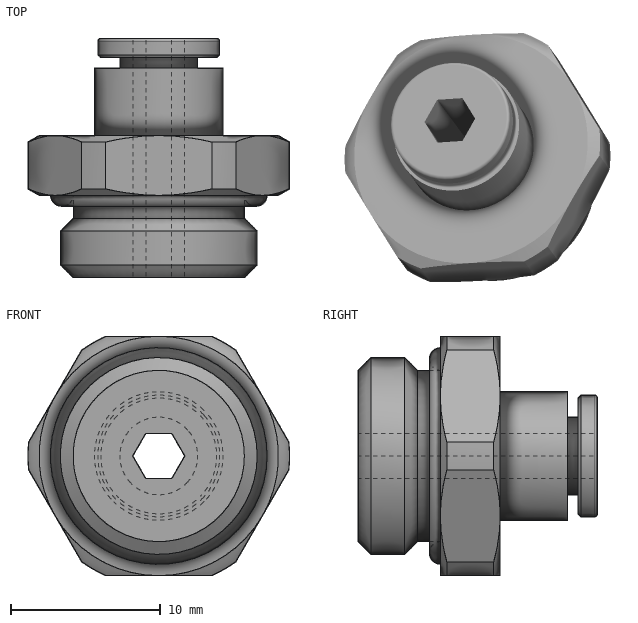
import cadquery as cq
import math

total_length = 16.0

thread_radius = 13.157 / 2
undercut_radius = 11.445 / 2
thread_chamfer = thread_radius - undercut_radius
thread_length = 3.97
undercut_length = 1.53

hex_across_flats = 16.0
hex_corner_diameter = 17.5
hex_length = 4.0
hex_chamfer_angle = 30.0

ring_section_radius = 0.76
ring_sink = 0.03
ring_centre_radius = undercut_radius + ring_section_radius

body_radius = 4.3
body_length = 4.5
neck_radius = 2.6
collar_radius = 4.075
collar_length = 1.3
collar_edge_size = 0.2

socket_across_flats = 3.0

front = -total_length / 2
back = total_length / 2
undercut_start = front + thread_length
hex_front = undercut_start + undercut_length
hex_back = hex_front + hex_length
body_back = hex_back + body_length
collar_front = back - collar_length


def across_corners(across_flats):
    return across_flats / math.cos(math.radians(30))


def along_y(start):
    """Sketch plane at Y = start, with extrusion towards +Y and local X along X."""
    return cq.Workplane(cq.Plane(origin=(0, start, 0), xDir=(1, 0, 0), normal=(0, 1, 0)))


def disc(radius, start, end):
    return along_y(start).circle(radius).extrude(end - start)


def hex_prism(across_flats, start, end):
    """Hexagonal prism with corners on the X axis and flats facing +Z and -Z."""
    return along_y(start).polygon(6, across_corners(across_flats)).extrude(end - start)


def revolve_about_y(profile):
    return profile.revolve(360, (0, 0, 0), (0, 1, 0))


def make_thread():
    """Thread envelope with a 45 degree bevel at both ends, running into the undercut."""
    return revolve_about_y(
        cq.Workplane("XY")
        .moveTo(0, front)
        .lineTo(undercut_radius, front)
        .lineTo(thread_radius, front + thread_chamfer)
        .lineTo(thread_radius, undercut_start - thread_chamfer)
        .lineTo(undercut_radius, undercut_start)
        .lineTo(undercut_radius, hex_front)
        .lineTo(0, hex_front)
        .close()
    )


def make_hexagon():
    """Hexagon with turned corners and a cone on each face that just meets the flats."""
    flat_radius = hex_across_flats / 2
    corner_radius = hex_corner_diameter / 2
    cone_length = (corner_radius - flat_radius) * math.tan(math.radians(hex_chamfer_angle))
    turned_blank = revolve_about_y(
        cq.Workplane("XY")
        .moveTo(0, hex_front)
        .lineTo(flat_radius, hex_front)
        .lineTo(corner_radius, hex_front + cone_length)
        .lineTo(corner_radius, hex_back - cone_length)
        .lineTo(flat_radius, hex_back)
        .lineTo(0, hex_back)
        .close()
    )
    return hex_prism(hex_across_flats, hex_front, hex_back).intersect(turned_blank)


def make_sealing_ring():
    return revolve_about_y(
        cq.Workplane("XY").moveTo(ring_centre_radius, hex_front + ring_sink).circle(ring_section_radius)
    )


def make_tube_end():
    """Body and neck, with a collar rounded at the back and bevelled towards the neck."""
    body = disc(body_radius, hex_back, body_back)
    neck = disc(neck_radius, body_back, collar_front)
    collar = disc(collar_radius, collar_front, back)
    collar = collar.faces(">Y").edges().fillet(collar_edge_size)
    collar = collar.faces("<Y").edges().chamfer(collar_edge_size)
    return body.union(neck).union(collar)


socket = hex_prism(socket_across_flats, front, back)

result = (
    make_thread()
    .union(make_hexagon())
    .union(make_sealing_ring())
    .union(make_tube_end())
    .cut(socket)
)